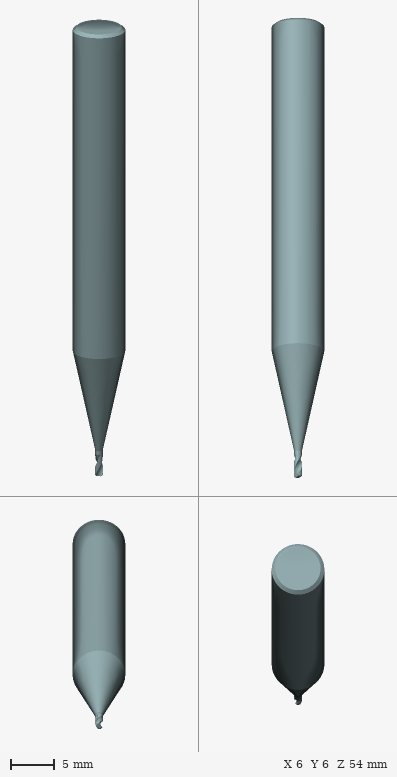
import cadquery as cq
import math

total_length = 54.0
shank_radius = 6.0 / 2
chamfer_height = 0.3
chamfer_inset = 0.45
taper_top = 15.05
taper_bottom = 3.1
neck_radius = 0.45

cutter_length = 2.0
cutter_radius = 0.475
corner_radius = 0.2
core_radius = 0.18
runout_core_start = 0.1
flute_count = 2
flute_radius = 0.8
helix_pitch = 5.5
lobe_angle_at_tip = 0.0

runout_start = 1.6
runout_end = 2.8
tool_margin = 0.05


def make_shank():
    """Chamfered shank, long taper and cylindrical neck, revolved about Z."""
    return (
        cq.Workplane("XZ")
        .moveTo(0, cutter_length)
        .lineTo(neck_radius, cutter_length)
        .lineTo(neck_radius, taper_bottom)
        .lineTo(shank_radius, taper_top)
        .lineTo(shank_radius, total_length - chamfer_height)
        .lineTo(shank_radius - chamfer_inset, total_length)
        .lineTo(0, total_length)
        .close()
        .revolve(360, (0, 0, 0), (0, 1, 0))
    )


def make_cutter_blank():
    """Cylinder with a rounded corner at the cutting end."""
    return (
        cq.Workplane("XY")
        .circle(cutter_radius)
        .extrude(cutter_length)
        .faces("<Z")
        .edges()
        .fillet(corner_radius)
    )


def make_runout_core():
    """Core that limits the flute depth; it widens past the neck radius at the runout."""
    core_top = runout_end + 2 * tool_margin
    end_radius = neck_radius + tool_margin
    return (
        cq.Workplane("XZ")
        .moveTo(0, -tool_margin)
        .lineTo(runout_core_start, -tool_margin)
        .lineTo(runout_core_start, runout_start)
        .lineTo(end_radius, runout_end)
        .lineTo(end_radius, core_top)
        .lineTo(0, core_top)
        .close()
        .revolve(360, (0, 0, 0), (0, 1, 0))
    )


def make_flute(index):
    """One helical flute, turning counterclockwise as it rises."""
    angle = math.radians(lobe_angle_at_tip + 90 + index * 360 / flute_count)
    flute_length = runout_end + tool_margin
    offset = core_radius + flute_radius
    return (
        cq.Workplane("XY", origin=(0, 0, -tool_margin))
        .moveTo(offset * math.cos(angle), offset * math.sin(angle))
        .circle(flute_radius)
        .twistExtrude(flute_length, 360 * flute_length / helix_pitch)
        .cut(make_runout_core())
    )


shank = make_shank()
cutter = make_cutter_blank()
for flute_index in range(flute_count):
    flute = make_flute(flute_index)
    shank = shank.cut(flute)
    cutter = cutter.cut(flute)

result = cq.Compound.makeCompound([shank.val(), cutter.val()])